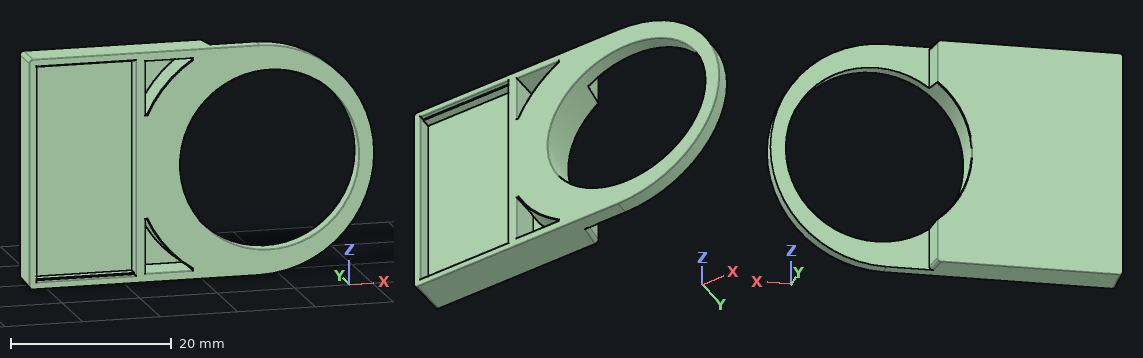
import cadquery as cq
import math

LENGTH = 44.5
WIDTH = 29.6
THICKNESS = 5.1
PLATE_THICKNESS = 2.0
OUTER_DRAFT = 1.5
CORNER_RADIUS = 0.5
EDGE_RADIUS = 0.1

END_RADIUS = WIDTH / 2
END_CENTER_X = LENGTH - END_RADIUS

STEP_X_AT_PLATE = 24.2
STEP_X_AT_BACK = 23.85
SELECTION_MARGIN = 0.45

OPENING_DIAMETER = 23.0
OPENING_CENTER_X = 30.95

POCKET_DRAFT = 3.0
POCKET_LEFT = 1.0
POCKET_RIGHT = 13.75
POCKET_HEIGHT = 27.67
LEDGE_WIDTH = 0.2
LEDGE_DEPTH = 0.62
LABEL_FACE_DEPTH = 1.75
LABEL_THICKNESS = 1.0

POCKET_WIDTH = POCKET_RIGHT - POCKET_LEFT
POCKET_CENTER_X = (POCKET_LEFT + POCKET_RIGHT) / 2
INNER_HEIGHT = POCKET_HEIGHT - 2 * LEDGE_WIDTH
WALL_INSET = LABEL_FACE_DEPTH * math.tan(math.radians(POCKET_DRAFT))
LABEL_WIDTH = POCKET_WIDTH - 2 * WALL_INSET
LABEL_HEIGHT = INNER_HEIGHT - 2 * WALL_INSET

CORNER_POCKET_LEFT = 15.0
CORNER_POCKET_RIGHT = 21.1
CORNER_POCKET_OUTER_Z = 13.6
CORNER_POCKET_INNER_Z = 6.67
CORNER_POCKET_ARC_RADIUS = 15.95
CORNER_POCKET_DEPTH = 3.8
CORNER_POCKET_DRAFT = 2.5


def face_plane(depth):
    """Sketch plane parallel to the front face, looking into the part, with local x = X and local y = -Z."""
    return cq.Workplane(cq.Plane(origin=(0, depth, 0), xDir=(1, 0, 0), normal=(0, 1, 0)))


def pocket_opening(height, depth):
    """Drafted rectangular opening, sunk from the front face."""
    return (
        face_plane(0)
        .center(POCKET_CENTER_X, 0)
        .rect(POCKET_WIDTH, height)
        .extrude(depth, taper=POCKET_DRAFT)
    )


def make_drafted_blank():
    """Full-thickness D-shaped blank with rounded square corners."""
    blank = (
        face_plane(0)
        .moveTo(0, -WIDTH / 2)
        .lineTo(END_CENTER_X, -WIDTH / 2)
        .threePointArc((LENGTH, 0), (END_CENTER_X, WIDTH / 2))
        .lineTo(0, WIDTH / 2)
        .close()
        .extrude(THICKNESS, taper=OUTER_DRAFT)
    )
    square_corners = cq.selectors.BoxSelector(
        (-SELECTION_MARGIN, 0, -WIDTH),
        (SELECTION_MARGIN, THICKNESS, WIDTH),
    )
    return blank.edges(square_corners).edges("not(#Y)").fillet(CORNER_RADIUS)


def make_step_cut():
    """Material behind the plate, up to the sloping step."""
    return (
        cq.Workplane("XY")
        .moveTo(STEP_X_AT_PLATE, PLATE_THICKNESS)
        .lineTo(STEP_X_AT_BACK, THICKNESS)
        .lineTo(LENGTH, THICKNESS)
        .lineTo(LENGTH, PLATE_THICKNESS)
        .close()
        .extrude(WIDTH / 2, both=True)
    )


def make_corner_pocket():
    """Drafted triangular pocket on the +Z side."""
    def arc_x(z):
        return END_CENTER_X - math.sqrt(CORNER_POCKET_ARC_RADIUS**2 - z**2)

    def arc_z(x):
        return math.sqrt(CORNER_POCKET_ARC_RADIUS**2 - (END_CENTER_X - x) ** 2)

    middle_z = (CORNER_POCKET_INNER_Z + CORNER_POCKET_OUTER_Z) / 2
    return (
        face_plane(0)
        .moveTo(CORNER_POCKET_LEFT, -CORNER_POCKET_OUTER_Z)
        .lineTo(CORNER_POCKET_LEFT, -CORNER_POCKET_INNER_Z)
        .lineTo(arc_x(CORNER_POCKET_INNER_Z), -CORNER_POCKET_INNER_Z)
        .threePointArc(
            (arc_x(middle_z), -middle_z),
            (CORNER_POCKET_RIGHT, -arc_z(CORNER_POCKET_RIGHT)),
        )
        .lineTo(CORNER_POCKET_RIGHT, -CORNER_POCKET_OUTER_Z)
        .close()
        .extrude(CORNER_POCKET_DEPTH, taper=CORNER_POCKET_DRAFT)
    )


def make_housing():
    housing = make_drafted_blank().cut(make_step_cut())

    step_corners = cq.selectors.BoxSelector(
        (STEP_X_AT_BACK - SELECTION_MARGIN, PLATE_THICKNESS, -WIDTH),
        (STEP_X_AT_PLATE + SELECTION_MARGIN, THICKNESS, WIDTH),
    )
    housing = housing.edges(step_corners).edges("not(#Y)").fillet(CORNER_RADIUS)

    opening = (
        face_plane(0)
        .center(OPENING_CENTER_X, 0)
        .circle(OPENING_DIAMETER / 2)
        .extrude(THICKNESS)
    )
    housing = housing.cut(opening)

    mouth = pocket_opening(POCKET_HEIGHT, LEDGE_DEPTH)
    inner_opening = pocket_opening(INNER_HEIGHT, LABEL_FACE_DEPTH)
    housing = housing.cut(mouth).cut(inner_opening).cut(make_label())

    upper_pocket = make_corner_pocket()
    lower_pocket = upper_pocket.mirror("XY")
    housing = housing.cut(upper_pocket).cut(lower_pocket)
    housing = housing.faces("<Y").edges().fillet(EDGE_RADIUS)
    return housing.faces(">Y").edges().fillet(EDGE_RADIUS)


def make_label():
    """Flat plate that fills the seat at the bottom of the label pocket."""
    return (
        face_plane(LABEL_FACE_DEPTH)
        .center(POCKET_CENTER_X, 0)
        .rect(LABEL_WIDTH, LABEL_HEIGHT)
        .extrude(LABEL_THICKNESS)
    )


housing = make_housing()
label = make_label()

result = cq.Compound.makeCompound([housing.val(), label.val()])